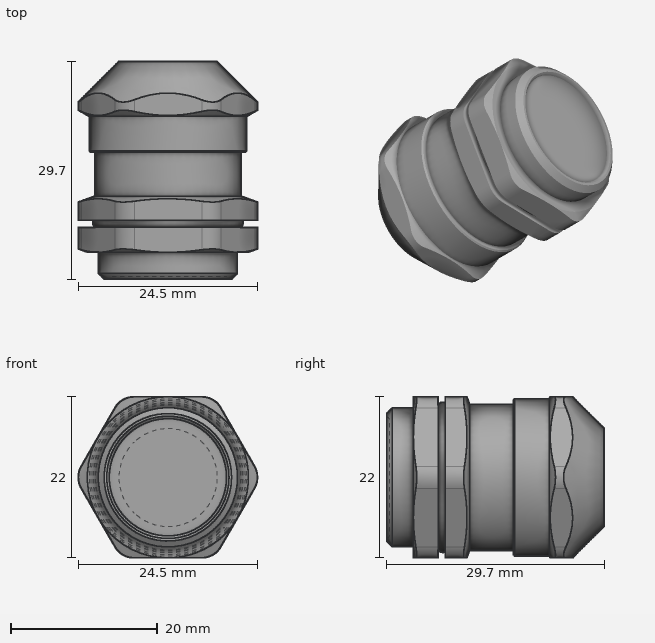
import cadquery as cq
import math


LOCKNUT_FRONT = 3.67
LOCKNUT_BACK = 7.05
HEX_FRONT = 8.0
HEX_BACK = 11.33
COLLAR_FRONT = 17.3
CAP_FRONT = 22.2
TOTAL_LENGTH = 29.7

ACROSS_FLATS = 22.0
CORNER_RADIUS = 3.0
FLAT_RADIUS = ACROSS_FLATS / 2
CLEARANCE_RADIUS = ACROSS_FLATS / math.sqrt(3)

THREAD_RADIUS = 19.0 / 2
THREAD_CHAMFER = 0.8
BODY_RADIUS = 20.0 / 2
COLLAR_RADIUS = 21.5 / 2
COLLAR_CHAMFER = 0.2
CAP_END_RADIUS = 6.7

RING_CREST_RADIUS = 10.27
RING_CREST_POSITION = 7.7
RING_FRONT_RADIUS = 9.9
RING_BACK_RADIUS = 10.2

RECESS_MOUTH_RADIUS = 8.35
RECESS_FLOOR_RADIUS = 8.0
RECESS_DEPTH = 0.4

NUT_CHAMFER_ANGLE = 20.0
CAP_CHAMFER_ANGLE = 30.0
CAP_CONE_ANGLE = 45.0


def cylinder(radius, front, back):
    """Cylinder about the Y axis from front to back."""
    plane = cq.Workplane("XZ", origin=(0, back, 0))
    return plane.circle(radius).extrude(back - front)


def revolve_profile(points):
    """Turn a closed (radius, y) outline about the Y axis."""
    return cq.Workplane("XY").polyline(points).close().revolve(360, (0, 0, 0), (0, 1, 0))


def hexagon(front, back):
    """Hexagonal prism with rounded corners and flats facing +Z and -Z."""
    plane = cq.Workplane("XZ", origin=(0, back, 0))
    prism = plane.polygon(6, 2 * CLEARANCE_RADIUS).extrude(back - front)
    return prism.edges("|Y").fillet(CORNER_RADIUS)


def cone_length(start_radius, angle):
    """Length of a cone from start_radius out to the sharp hexagon corners."""
    return (CLEARANCE_RADIUS - start_radius) * math.tan(math.radians(angle))


def make_locknut():
    """Locknut, chamfered on its front end."""
    envelope = revolve_profile([
        (0, LOCKNUT_FRONT),
        (FLAT_RADIUS, LOCKNUT_FRONT),
        (CLEARANCE_RADIUS, LOCKNUT_FRONT + cone_length(FLAT_RADIUS, NUT_CHAMFER_ANGLE)),
        (CLEARANCE_RADIUS, LOCKNUT_BACK),
        (0, LOCKNUT_BACK),
    ])
    return hexagon(LOCKNUT_FRONT, LOCKNUT_BACK).intersect(envelope)


def make_body_hexagon():
    """Hexagon of the body, chamfered on its back end down to the body cylinder."""
    envelope = revolve_profile([
        (0, HEX_FRONT),
        (CLEARANCE_RADIUS, HEX_FRONT),
        (CLEARANCE_RADIUS, HEX_BACK - cone_length(BODY_RADIUS, NUT_CHAMFER_ANGLE)),
        (BODY_RADIUS, HEX_BACK),
        (0, HEX_BACK),
    ])
    return hexagon(HEX_FRONT, HEX_BACK).intersect(envelope)


def make_cap():
    """Hexagonal cap nut with a chamfered front and a long conical back."""
    envelope = revolve_profile([
        (0, CAP_FRONT),
        (COLLAR_RADIUS, CAP_FRONT),
        (CLEARANCE_RADIUS, CAP_FRONT + cone_length(COLLAR_RADIUS, CAP_CHAMFER_ANGLE)),
        (CLEARANCE_RADIUS, TOTAL_LENGTH - cone_length(CAP_END_RADIUS, CAP_CONE_ANGLE)),
        (CAP_END_RADIUS, TOTAL_LENGTH),
        (0, TOTAL_LENGTH),
    ])
    return hexagon(CAP_FRONT, TOTAL_LENGTH).intersect(envelope)


def make_ring():
    """Sealing ring with a bulged outer surface."""
    return (
        cq.Workplane("XY")
        .moveTo(0, LOCKNUT_BACK)
        .lineTo(RING_FRONT_RADIUS, LOCKNUT_BACK)
        .threePointArc((RING_CREST_RADIUS, RING_CREST_POSITION), (RING_BACK_RADIUS, HEX_FRONT))
        .lineTo(0, HEX_FRONT)
        .close()
        .revolve(360, (0, 0, 0), (0, 1, 0))
    )


def make_recess():
    """Tapered recess in the front end of the thread."""
    return revolve_profile([
        (0, 0),
        (RECESS_MOUTH_RADIUS, 0),
        (RECESS_FLOOR_RADIUS, RECESS_DEPTH),
        (0, RECESS_DEPTH),
    ])


thread = cylinder(THREAD_RADIUS, 0, LOCKNUT_FRONT).faces("<Y").chamfer(THREAD_CHAMFER)
body = cylinder(BODY_RADIUS, HEX_BACK, COLLAR_FRONT)
collar = cylinder(COLLAR_RADIUS, COLLAR_FRONT, CAP_FRONT).faces("<Y").chamfer(COLLAR_CHAMFER)

result = (
    thread.cut(make_recess())
    .union(make_locknut())
    .union(make_ring())
    .union(make_body_hexagon())
    .union(body)
    .union(collar)
    .union(make_cap())
)